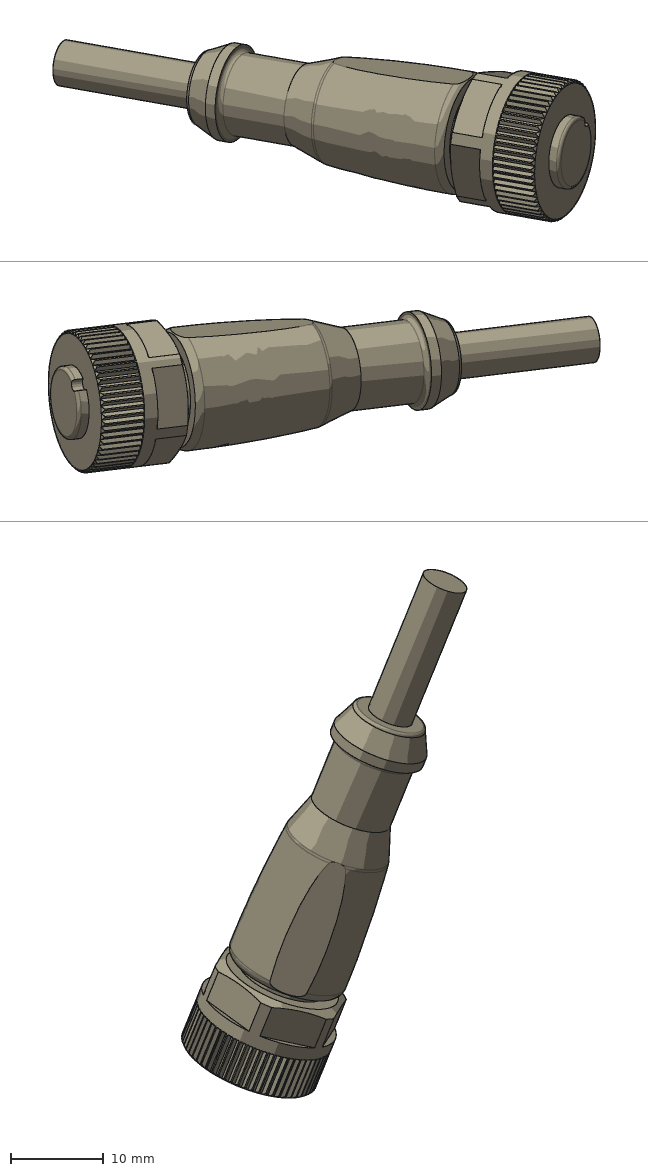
import cadquery as cq
import math

grip_start = 16.7
bead_start = 19.7
bead_end = 20.85
taper_start = 28.7
body_start = 32.8
body_end = 48.8
nut_start = 49.7
hex_end = 53.75
knurl_start = 55.3
nut_end = 60.2
total_length = 61.5

cable_radius = 2.5
grip_front_radius = 4.2
bead_radius = 5.35
neck_radius = 4.55
grip_edge_round = 0.35
bead_root_round = 0.55

body_start_radius = 5.9
body_mid_radius = 6.5
body_end_radius = 6.7
body_shoulder_round = 1.5
body_edge_length = 0.9
body_edge_drop = 0.4
body_edge_round = 1.15
flat_start_height = 5.85
flat_end_height = 6.4

collar_radius = 7.75
stem_radius = 4.9
nut_face_radius = 6.45
nut_lead_in = 0.5
nut_end_chamfer = 0.3
hex_flat_distance = 7.0
hex_sides = 6
hex_turn = 12.5

groove_count = 60
groove_width = 0.7
groove_depth = 0.34

core_radius = 4.0
core_edge_round = 0.35
keyway_radius = 0.7
keyway_angle = 45.0

axis_start = (0, 0, 0)
axis_end = (1, 0, 0)


def revolve_about_axis(half_profile):
    """Revolve a closed half profile, drawn as (X, radius), about the X axis."""
    return half_profile.close().revolve(360, axis_start, axis_end)


def cylinder(start, end, radius):
    return cq.Workplane("YZ", origin=(start, 0, 0)).circle(radius).extrude(end - start)


def make_grip():
    """Bead, neck and conical transition up to the start of the body."""
    rounded_end = grip_start + grip_edge_round
    root_end = bead_end + bead_root_round
    return revolve_about_axis(
        cq.Workplane("XY")
        .moveTo(grip_start, 0)
        .lineTo(grip_start, grip_front_radius - grip_edge_round)
        .radiusArc((rounded_end, grip_front_radius), grip_edge_round)
        .lineTo(bead_start, bead_radius)
        .lineTo(bead_end, bead_radius)
        .lineTo(bead_end, neck_radius + bead_root_round)
        .radiusArc((root_end, neck_radius), -bead_root_round)
        .lineTo(taper_start, neck_radius)
        .lineTo(body_start, body_start_radius)
        .lineTo(body_start, 0)
    )


def make_body():
    """Slightly bulging body with a rounded edge facing the nut."""
    round_start = body_end - body_edge_length
    return revolve_about_axis(
        cq.Workplane("XY")
        .moveTo(body_start, 0)
        .lineTo(body_start, body_start_radius)
        .threePointArc(
            ((body_start + round_start) / 2, body_mid_radius),
            (round_start, body_end_radius),
        )
        .radiusArc((body_end, body_end_radius - body_edge_drop), body_edge_round)
        .lineTo(body_end, 0)
    )


def round_shoulder(handle):
    """Blend the edge where the conical transition meets the body."""
    margin = 0.05
    shoulder = cq.selectors.BoxSelector(
        (body_start - margin, -collar_radius, -collar_radius),
        (body_start + margin, collar_radius, collar_radius),
        boundingbox=True,
    )
    return handle.edges(shoulder).fillet(body_shoulder_round)


def cut_body_flats(handle):
    """Trim the top and bottom of the body along two planes that open toward the nut."""
    slope = (flat_end_height - flat_start_height) / (body_end - body_start)
    waste_start = taper_start
    waste_start_height = flat_start_height - slope * (body_start - waste_start)
    waste = (
        cq.Workplane("XZ")
        .moveTo(waste_start, waste_start_height)
        .lineTo(body_end, flat_end_height)
        .lineTo(body_end, collar_radius)
        .lineTo(waste_start, collar_radius)
        .close()
        .extrude(collar_radius, both=True)
    )
    return handle.cut(waste).cut(waste.mirror("XY"))


def make_nut_blank():
    """Turned blank of the nut with a conical lead-in and a chamfered end."""
    return revolve_about_axis(
        cq.Workplane("XY")
        .moveTo(nut_start, 0)
        .lineTo(nut_start, nut_face_radius)
        .lineTo(nut_start + nut_lead_in, collar_radius)
        .lineTo(nut_end - nut_end_chamfer, collar_radius)
        .lineTo(nut_end, collar_radius - nut_end_chamfer)
        .lineTo(nut_end, 0)
    )


def cut_hex_flats(nut):
    """Mill six wrench flats that stop at the round collar."""
    length = hex_end - nut_start
    depth = collar_radius - hex_flat_distance
    waste = cq.Workplane("XY").box(length, depth, 2 * collar_radius, centered=(False, False, True))
    waste = waste.translate((nut_start, -collar_radius, 0))
    for side in range(hex_sides):
        angle = hex_turn + side * 360 / hex_sides
        nut = nut.cut(waste.rotate(axis_start, axis_end, angle))
    return nut


def cut_knurl(nut):
    """Cut evenly spaced V-grooves from the collar to the end of the nut."""
    overshoot = groove_depth / 2
    half_mouth = groove_width / 2 * (1 + overshoot / groove_depth)
    groove = (
        cq.Workplane("YZ", origin=(knurl_start, 0, 0))
        .moveTo(0, collar_radius - groove_depth)
        .lineTo(half_mouth, collar_radius + overshoot)
        .lineTo(-half_mouth, collar_radius + overshoot)
        .close()
        .extrude(nut_end - knurl_start)
        .val()
    )
    pitch = 360 / groove_count
    grooves = [
        groove.rotate(cq.Vector(axis_start), cq.Vector(axis_end), index * pitch)
        for index in range(groove_count)
    ]
    return nut.cut(cq.Workplane(cq.Compound.makeCompound(grooves)))


def make_core():
    """Socket core with a rounded rim and one half-round keyway."""
    core = cylinder(nut_end, total_length, core_radius).faces(">X").edges().fillet(core_edge_round)
    angle = math.radians(keyway_angle)
    keyway = cylinder(nut_end, total_length, keyway_radius).translate(
        (0, core_radius * math.cos(angle), core_radius * math.sin(angle))
    )
    return core.cut(keyway)


cable = cylinder(0, grip_start, cable_radius)
handle = round_shoulder(make_grip().union(make_body()))
handle = cut_body_flats(handle)
stem = cylinder(body_end, nut_start, stem_radius)
nut = cut_knurl(cut_hex_flats(make_nut_blank()))

result = cable.union(handle).union(stem).union(nut).union(make_core())